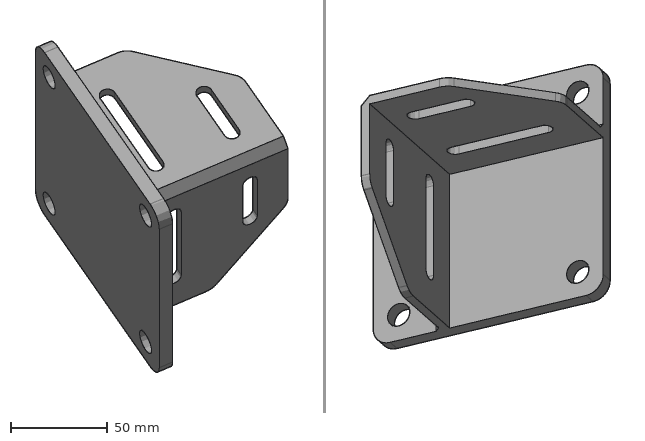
import cadquery as cq

plate_size = 135.0
plate_thickness = 8.0
plate_corner_radius = 10.0
hole_diameter = 13.0
hole_inset = 15.0

flange_width = 95.0
flange_length = 90.0
flange_thickness = 5.0
flange_corner_cut = 45.0
flange_corner_radius = 10.0
weld_leg = 3.0

slot_width = 8.5
slot_end_center = 75.0
near_slot_start_center = 22.5
far_slot_start_center = 45.0
near_slot_offset = flange_length / 4
far_slot_offset = flange_length * 3 / 4

total_depth = plate_thickness + flange_length
flange_inner = flange_width - flange_thickness


def make_plate():
    hole_pitch = plate_size - 2 * hole_inset
    return (
        cq.Workplane("XZ", origin=(plate_size / 2, 0, plate_size / 2))
        .rect(plate_size, plate_size)
        .extrude(-plate_thickness)
        .edges("|Y")
        .fillet(plate_corner_radius)
        .faces("<Y")
        .workplane(origin=(plate_size / 2, 0, plate_size / 2))
        .rect(hole_pitch, hole_pitch, forConstruction=True)
        .vertices()
        .hole(hole_diameter)
    )


def cut_slot(flange, start_center, offset):
    span = slot_end_center - start_center
    middle = (start_center + slot_end_center) / 2
    cutter = (
        cq.Workplane("XY", origin=(middle, plate_thickness + offset, flange_inner))
        .slot2D(span + slot_width, slot_width)
        .extrude(flange_thickness)
    )
    return flange.cut(cutter)


def make_horizontal_flange():
    outline = [
        (0, plate_thickness),
        (flange_width, plate_thickness),
        (flange_width, total_depth),
        (flange_corner_cut, total_depth),
        (0, total_depth - flange_corner_cut),
    ]
    flange = (
        cq.Workplane("XY", origin=(0, 0, flange_inner))
        .polyline(outline)
        .close()
        .extrude(flange_thickness)
    )
    flange = flange.faces("<X or >Y").edges("|Z and (not <Y) and (not >X)").fillet(flange_corner_radius)
    flange = cut_slot(flange, near_slot_start_center, near_slot_offset)
    return cut_slot(flange, far_slot_start_center, far_slot_offset)


def envelope(length, taper=0):
    """Block around the bracket, its outer corner chamfered, grown towards the plate by the taper."""
    low = -2 * weld_leg
    return (
        cq.Workplane("XZ", origin=(0, plate_thickness + length, 0))
        .moveTo(low, low)
        .lineTo(flange_width, low)
        .lineTo(flange_width, flange_inner)
        .lineTo(flange_inner, flange_width)
        .lineTo(low, flange_width)
        .close()
        .extrude(length, taper=taper)
    )


def make_bracket():
    horizontal = make_horizontal_flange()
    vertical = horizontal.mirror((1, 0, -1))
    chamfered_block = envelope(flange_length)
    return horizontal.union(vertical).intersect(chamfered_block)


def make_weld():
    """Bevel that widens the outer faces of the bracket towards the plate."""
    bevel = envelope(weld_leg, taper=-45)
    footprint = cq.Workplane("XY").box(plate_size, total_depth, plate_size, centered=False)
    inside = cq.Workplane("XY").box(flange_inner, total_depth, flange_inner, centered=False)
    return bevel.intersect(footprint).cut(inside)


result = make_plate().union(make_bracket()).union(make_weld())